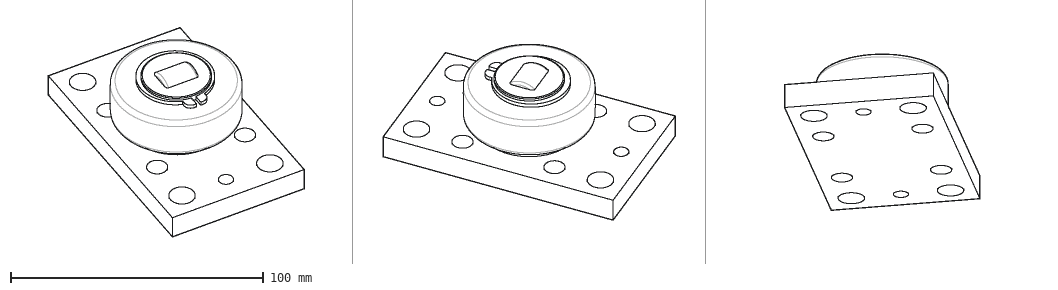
import cadquery as cq
import math

plate_length = 100.0
plate_width = 60.0
plate_thickness = 10.0
hole_column_x = 40.0
hole_row_y = 20.0
inner_hole_x = 20.0
mounting_hole_diameter = 10.5
inner_hole_diameter = 8.38
dowel_hole_diameter = 6.0

collar_bottom_z = 10.25
collar_top_z = 15.0
roller_top_z = 31.9
ring_top_z = 33.5
pin_top_z = 34.75
overall_height = 36.75

stem_diameter = 30.0
collar_diameter = 40.0
collar_chamfer = 0.5

roller_diameter = 52.4
roller_crown_radius = 500.0
roller_fillet = 1.9

pin_diameter = 28.0
pin_chamfer_height = 0.3
pin_chamfer_depth = 0.5

ring_diameter = 31.3
ring_offset_x = -0.8
lug_end_x = 18.0
lugs_width = 10.0
lug_corner_radius = 3.0
ring_gap = 2.0

pad_length = 15.0
pad_width = 10.76
pad_end_fillet = 1.0


def disc(diameter, bottom_z, top_z):
    """Upright cylinder on the roller axis."""
    return cq.Workplane("XY").workplane(offset=bottom_z).circle(diameter / 2).extrude(top_z - bottom_z)


def drill(body, points, diameter):
    """Through holes in the plate, kept clear of everything above it."""
    tools = cq.Workplane("XY").pushPoints(points).circle(diameter / 2).extrude(plate_thickness)
    return body.cut(tools)


def make_plate():
    plate = cq.Workplane("XY").box(plate_length, plate_width, plate_thickness, centered=(True, True, False))
    signs = (-1, 1)
    mounting_points = [(sx * hole_column_x, sy * hole_row_y) for sx in signs for sy in signs]
    inner_points = [(sx * inner_hole_x, sy * hole_row_y) for sx in signs for sy in signs]
    dowel_points = [(sx * hole_column_x, 0) for sx in signs]
    plate = drill(plate, mounting_points, mounting_hole_diameter)
    plate = drill(plate, inner_points, inner_hole_diameter)
    return drill(plate, dowel_points, dowel_hole_diameter)


def make_collar():
    collar = disc(collar_diameter, collar_bottom_z, collar_top_z).faces(">Z").chamfer(collar_chamfer)
    return collar.union(disc(stem_diameter, plate_thickness, collar_bottom_z))


def make_roller():
    rim_radius = roller_diameter / 2
    half_height = (roller_top_z - collar_top_z) / 2
    crown_drop = roller_crown_radius - math.sqrt(roller_crown_radius**2 - half_height**2)
    edge_radius = rim_radius - crown_drop
    half_section = (
        cq.Workplane("XZ")
        .moveTo(0, collar_top_z)
        .lineTo(edge_radius, collar_top_z)
        .threePointArc((rim_radius, collar_top_z + half_height), (edge_radius, roller_top_z))
        .lineTo(0, roller_top_z)
        .close()
    )
    roller = half_section.revolve(360, (0, 0, 0), (0, 1, 0))
    return roller.faces("<Z or >Z").edges().fillet(roller_fillet)


def make_pin():
    return disc(pin_diameter, roller_top_z, pin_top_z).faces(">Z").chamfer(pin_chamfer_height, pin_chamfer_depth)


def radial_bar(width):
    """Bar as tall as the retaining ring, from the roller axis out to the lug ends on the +X side."""
    return (
        cq.Workplane("XY")
        .box(lug_end_x, width, ring_top_z - roller_top_z, centered=(False, True, False))
        .translate((0, 0, roller_top_z))
    )


def make_retaining_ring():
    ring = disc(ring_diameter, roller_top_z, ring_top_z).translate((ring_offset_x, 0, 0))
    lugs = radial_bar(lugs_width).edges("|Z and >X").fillet(lug_corner_radius)
    return ring.union(lugs).cut(radial_bar(ring_gap))


def make_pad():
    pad_rise = overall_height - pin_top_z
    half_width = pad_width / 2
    pad_radius = (half_width**2 + pad_rise**2) / (2 * pad_rise)
    lying_cylinder = (
        cq.Workplane("XZ")
        .center(0, overall_height - pad_radius)
        .circle(pad_radius)
        .extrude(pad_length / 2, both=True)
        .faces("<Y or >Y")
        .edges()
        .fillet(pad_end_fillet)
    )
    cap_space = (
        cq.Workplane("XY")
        .workplane(offset=pin_top_z)
        .rect(pad_width, pad_length)
        .extrude(pad_rise)
    )
    return lying_cylinder.intersect(cap_space)


result = make_plate()
for feature in (make_collar(), make_roller(), make_pin(), make_retaining_ring(), make_pad()):
    result = result.union(feature)